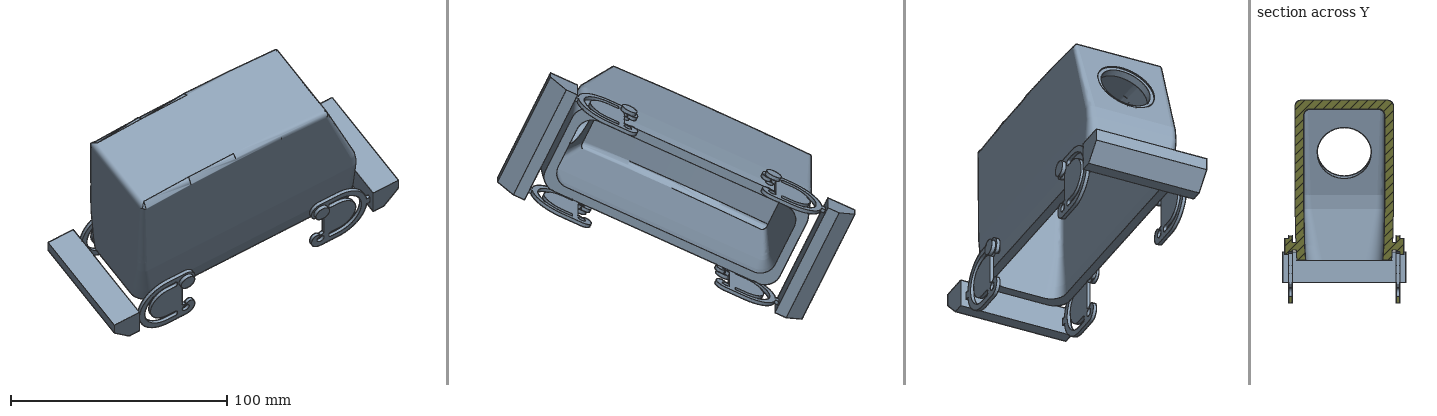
import cadquery as cq
import math

HOOD_HEIGHT = 75.8
BAND_TOP = 6.7
SKIRT_TOP = 23.5
KNEE = 30.0
WALL = 4.2
RIM_WIDTH = 44.0
BAND_WIDTH = 45.0
HOOD_WIDTH = 45.7
RIM_HALF_LENGTH = 60.0
KNEE_Y = 59.0
PLAIN_TOP_Y = -59.0
ENTRY_TOP_Y = 43.0
RIM_CORNER = 7.6
BAND_CORNER = 6.5
SKIRT_CORNER = 3.7
KNEE_CORNER = 3.3
CROWN_CORNER = 1.7
CROWN_PEAK_Y = -9.4
CROWN_DROP = 1.9
CROWN_ARC_REACH = 49.9
CROWN_FILLET = 2.8
ENTRY_FILLET = 1.5

ENTRY_Y = 51.3
ENTRY_BORE_RADIUS = 12.5
ENTRY_RECESS_RADIUS = 14.4
ENTRY_RECESS_DEPTH = 0.6

PLATE_INNER_X = 24.0
PLATE_THICKNESS = 1.7
LEVER_Y = 46.8
LEVER_Z = -4.2
LEVER_RADIUS = 15.6
PLATE_EDGE_Y = 38.8
HOOK_Y = 37.0
HOOK_RADIUS = 5.0
HOOK_HOLE_RADIUS = 1.9
HOOK_TIP_RADIUS = 2.2
HOOK_TIP_ANGLE = 33.0
HOOK_NECK_OFFSET = 2.5
HOOK_ROOT_OFFSET = 3.3
SLOT_OUTER_RADIUS = 12.6
SLOT_INNER_RADIUS = 9.5
SLOT_END_Y = 41.7
SLOT_END_FILLET = 1.0
ARM_HALF_HEIGHT = 1.9
PIN_HEAD_RADIUS = 3.7
PIN_HEAD_END_X = 27.6

BAR_OUTER_Y = 78.0
BAR_INNER_Y = 64.1
BAR_TOP_Z = 3.9
BAR_BOTTOM_Z = -10.3
BAR_WIDTH = 57.0
BAR_BEVEL = 8.1

crown_radius = (CROWN_ARC_REACH**2 + CROWN_DROP**2) / (2 * CROWN_DROP)
crown_axis_z = HOOD_HEIGHT - crown_radius


def crown_height(y):
    return crown_axis_z + math.sqrt(crown_radius**2 - (y - CROWN_PEAK_Y) ** 2)


plain_top_z = crown_height(PLAIN_TOP_Y)
entry_top_z = crown_height(ENTRY_TOP_Y)
slope_angle = math.atan2(entry_top_z - KNEE, KNEE_Y - ENTRY_TOP_Y)
plate_outer_x = PLATE_INNER_X + PLATE_THICKNESS
hook_offset_z = LEVER_RADIUS - HOOK_RADIUS


def plain_wall_y(z):
    return -RIM_HALF_LENGTH + (RIM_HALF_LENGTH + PLAIN_TOP_Y) * z / plain_top_z


def entry_wall_y(z):
    """Upright wall up to the skirt top; the sloping face at the knee and above."""
    if z <= SKIRT_TOP:
        return RIM_HALF_LENGTH
    return KNEE_Y - (z - KNEE) / math.tan(slope_angle)


def drafted_body(inset):
    """Stacked drafted sections with round corners; the inset makes the matching cavity."""
    end_inset = inset / math.sin(slope_angle)
    levels = [
        (0, RIM_WIDTH, RIM_CORNER),
        (BAND_TOP, BAND_WIDTH, BAND_CORNER),
        (SKIRT_TOP, HOOD_WIDTH, SKIRT_CORNER),
        (KNEE, HOOD_WIDTH, KNEE_CORNER),
        (HOOD_HEIGHT, HOOD_WIDTH, CROWN_CORNER),
    ]
    sections = []
    for z, width, corner in levels:
        y_min = plain_wall_y(z) + end_inset
        y_max = entry_wall_y(z) - end_inset
        outline = cq.Sketch().rect(width - 2 * inset, y_max - y_min).vertices().fillet(corner)
        sections.append(outline.moved(cq.Location(cq.Vector(0, (y_min + y_max) / 2, z))))
    body = cq.Workplane()
    for lower, upper in zip(sections, sections[1:]):
        body = body.add(cq.Workplane().placeSketch(lower, upper).loft(ruled=True))
    return body.combine()


def crown_envelope(inset):
    """Ring about the axis of the crown arc; its outer surface is the crown with rounded sides."""
    band_height = HOOD_HEIGHT + CROWN_FILLET
    ring_outline = (
        cq.Sketch()
        .rect(HOOD_WIDTH - 2 * inset, band_height)
        .vertices(">Y")
        .fillet(CROWN_FILLET)
        .moved(cq.Location(cq.Vector(0, HOOD_HEIGHT - inset - band_height / 2, 0)))
    )
    return (
        cq.Workplane("XZ", origin=(0, CROWN_PEAK_Y, 0))
        .placeSketch(ring_outline)
        .revolve(360, (0, crown_axis_z, 0), (1, crown_axis_z, 0))
    )


def nearest(y, z):
    """Selector for the edge whose centre lies nearest to (0, y, z)."""
    return cq.selectors.NearestToPointSelector((0, y, z))


def end_envelope():
    """Side outline of the hood with rounded edges where the crown meets the two ends."""
    prism = (
        cq.Workplane("YZ")
        .moveTo(-RIM_HALF_LENGTH, 0)
        .lineTo(PLAIN_TOP_Y, plain_top_z)
        .threePointArc((CROWN_PEAK_Y, HOOD_HEIGHT), (ENTRY_TOP_Y, entry_top_z))
        .lineTo(KNEE_Y, KNEE)
        .lineTo(RIM_HALF_LENGTH, SKIRT_TOP)
        .lineTo(RIM_HALF_LENGTH, 0)
        .close()
        .extrude(HOOD_WIDTH, both=True)
    )
    prism = prism.edges(nearest(PLAIN_TOP_Y, plain_top_z)).fillet(CROWN_FILLET)
    return prism.edges(nearest(ENTRY_TOP_Y, entry_top_z)).fillet(ENTRY_FILLET)


def entry_cylinder(radius, depth):
    """Cylinder square to the sloping face, sunk to `depth` below it."""
    face_z = KNEE + (KNEE_Y - ENTRY_Y) * math.tan(slope_angle)
    inward = cq.Vector(0, -math.sin(slope_angle), -math.cos(slope_angle))
    origin = cq.Vector(0, ENTRY_Y, face_z) - inward * WALL
    return cq.Workplane(cq.Solid.makeCylinder(radius, WALL + depth, origin, inward))


def hood():
    outer = drafted_body(0).intersect(crown_envelope(0)).intersect(end_envelope())
    cavity = drafted_body(WALL).intersect(crown_envelope(WALL))
    shell = outer.cut(cavity)
    shell = shell.cut(entry_cylinder(ENTRY_RECESS_RADIUS, ENTRY_RECESS_DEPTH))
    return shell.cut(entry_cylinder(ENTRY_BORE_RADIUS, 2 * WALL))


def plate_plane():
    """Sketch plane on the inner face of a lever plate: local axes are Y and Z from LEVER_Z."""
    return cq.Workplane("YZ", origin=(PLATE_INNER_X, 0, LEVER_Z))


def d_shape(radius, end_y):
    """Half disc about the lever centre, extended straight to end_y."""
    return (
        plate_plane()
        .moveTo(end_y, radius)
        .lineTo(LEVER_Y, radius)
        .threePointArc((LEVER_Y + radius, 0), (LEVER_Y, -radius))
        .lineTo(end_y, -radius)
        .close()
        .extrude(PLATE_THICKNESS)
    )


def plate_disc(y, z, radius):
    return plate_plane().center(y, z).circle(radius).extrude(PLATE_THICKNESS)


def hook(side):
    """Round hook beyond the plate edge; side is +1 for the upper and -1 for the lower one."""

    def point_from_hole(distance, degrees):
        """Point away from the plate edge, turned by the angle towards the lever's mid height."""
        angle = math.radians(degrees)
        y = HOOK_Y - distance * math.cos(angle)
        z = side * (hook_offset_z - distance * math.sin(angle))
        return y, z

    arc_start_angle = -90
    arc_mid_angle = (arc_start_angle + HOOK_TIP_ANGLE) / 2
    body = (
        plate_plane()
        .moveTo(PLATE_EDGE_Y, side * LEVER_RADIUS)
        .lineTo(HOOK_Y, side * LEVER_RADIUS)
        .threePointArc(
            point_from_hole(HOOK_RADIUS, arc_mid_angle),
            point_from_hole(HOOK_RADIUS, HOOK_TIP_ANGLE),
        )
        .lineTo(HOOK_Y, side * (hook_offset_z - HOOK_NECK_OFFSET))
        .lineTo(PLATE_EDGE_Y, side * (hook_offset_z - HOOK_ROOT_OFFSET))
        .close()
        .extrude(PLATE_THICKNESS)
    )
    tip_y, tip_z = point_from_hole(HOOK_RADIUS - HOOK_TIP_RADIUS, HOOK_TIP_ANGLE)
    return body.union(plate_disc(tip_y, tip_z, HOOK_TIP_RADIUS))


def lever_plate():
    slot = d_shape(SLOT_OUTER_RADIUS, SLOT_END_Y).cut(d_shape(SLOT_INNER_RADIUS, SLOT_END_Y))
    slot = slot.edges("|X and <Y").fillet(SLOT_END_FILLET)
    arm_length = BAR_INNER_Y - LEVER_Y - SLOT_OUTER_RADIUS
    arm = (
        plate_plane()
        .center(BAR_INNER_Y - arm_length / 2, 0)
        .rect(arm_length, 2 * ARM_HALF_HEIGHT)
        .extrude(PLATE_THICKNESS)
    )
    plate = d_shape(LEVER_RADIUS, PLATE_EDGE_Y).union(arm).cut(slot)
    for side in (1, -1):
        plate = plate.union(hook(side))
        plate = plate.cut(plate_disc(HOOK_Y, side * hook_offset_z, HOOK_HOLE_RADIUS))
    return plate


def pin():
    """Headed pin from inside the hood wall through the upper hook of a lever plate."""
    start_x = (RIM_WIDTH - WALL) / 2
    pin_plane = cq.Workplane("YZ", origin=(start_x, HOOK_Y, LEVER_Z + hook_offset_z))
    shank = pin_plane.circle(HOOK_HOLE_RADIUS).extrude(plate_outer_x - start_x)
    head = (
        pin_plane.workplane(offset=plate_outer_x - start_x)
        .circle(PIN_HEAD_RADIUS)
        .extrude(PIN_HEAD_END_X - plate_outer_x)
    )
    return shank.union(head)


def bar():
    return (
        cq.Workplane("YZ")
        .moveTo(BAR_INNER_Y, BAR_TOP_Z)
        .lineTo(BAR_OUTER_Y, BAR_TOP_Z)
        .lineTo(BAR_OUTER_Y, BAR_BOTTOM_Z + BAR_BEVEL)
        .lineTo(BAR_OUTER_Y - BAR_BEVEL, BAR_BOTTOM_Z)
        .lineTo(BAR_INNER_Y, BAR_BOTTOM_Z)
        .close()
        .extrude(BAR_WIDTH / 2, both=True)
    )


def locking_handle():
    """Bar with a lever plate and a pin on either side of the hood."""
    one_side = lever_plate().union(pin())
    return bar().union(one_side).union(one_side.mirror("YZ"))


handle = locking_handle()
result = hood().union(handle).union(handle.mirror("XZ"))